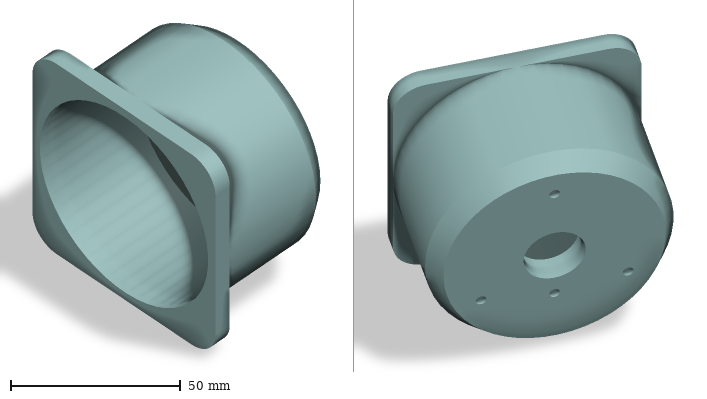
import cadquery as cq

width = 76.0
depth = 48.0
flange_thickness = 6.0
corner_radius = 10.0

bevel_length = 6.0
bevel_inset = 4.0

bore_diameter = 70.0
floor_thickness = 8.0

center_hole_diameter = 19.0
small_hole_diameter = 3.3
bolt_circle_radius = 26.0
bolt_count = 3
first_bolt_angle = 90
lower_hole_offset = 16.0


def plane_at(y):
    """XZ plane at the given Y, with its normal pointing along +Y and local y along Z."""
    return cq.Plane(origin=(0, y, 0), xDir=(-1, 0, 0), normal=(0, 1, 0))


def make_flange():
    plate = cq.Workplane(plane_at(0)).rect(width, width).extrude(flange_thickness)
    return plate.edges("|Y").fillet(corner_radius)


def make_body():
    radius = width / 2
    profile = [
        (0, 0),
        (radius, 0),
        (radius, depth - bevel_length),
        (radius - bevel_inset, depth),
        (0, depth),
    ]
    return cq.Workplane("XY").polyline(profile).close().revolve(360, (0, 0, 0), (0, 1, 0))


def make_bore():
    return cq.Workplane(plane_at(0)).circle(bore_diameter / 2).extrude(depth - floor_thickness)


def make_floor_holes():
    floor = cq.Workplane(plane_at(0))
    center = floor.circle(center_hole_diameter / 2).extrude(depth)
    bolts = (
        floor.polarArray(bolt_circle_radius, first_bolt_angle, 360, bolt_count)
        .circle(small_hole_diameter / 2)
        .extrude(depth)
    )
    lower = floor.center(0, -lower_hole_offset).circle(small_hole_diameter / 2).extrude(depth)
    return center.union(bolts).union(lower)


result = make_flange().union(make_body()).cut(make_bore()).cut(make_floor_holes())